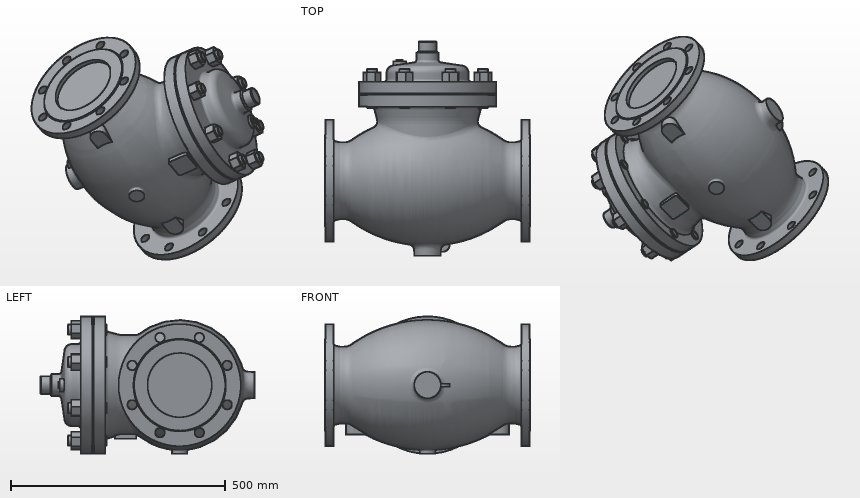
import cadquery as cq
import math


face_to_face = 480.0
flange_radius = 142.5
flange_back = 219.0
raised_face_radius = 108.0
raised_face_height = 2.0
raised_face_taper = 45
bore_diameter = 150.0
bore_depth = 10.0
hole_diameter = 22.0
hole_circle = 240.0
bolt_count = 8

pipe_radius = 90.0
pipe_start = 204.5
hub_radius = 92.0
hub_start = 213.0
belly_radius = 152.0
throat_end = 194.0
throat_blend = 30.0

neck_radius = 117.0
neck_base = 75.0
neck_straight_end = 132.5
neck_cone_start = 146.0
neck_cone_end = 166.0
neck_cone_angle = math.radians(15)
neck_root_fillet = 15.0

bonnet_radius = 160.5
bonnet_thickness = 27.0
neck_flange_base = 173.0
gasket_radius = 125.0
gasket_thickness = 4.0

dome_radius = 96.0
dome_straight_end = 251.0
dome_corner = 18.0
dome_slope = math.radians(8.5)
dome_fillet = 6.0
stem_foot_radius = 26.0
stem_root_fillet = 6.0
stem_foot_top = 301.5
stem_radius = 21.0
stem_top = 325.0
stem_step_chamfer = 3.0
stem_chamfer = 2.0

plug_x = -65.0
plug_diameter = 30.0
plug_top = 279.0
plug_knob_diameter = 15.0
plug_knob_height = 3.5

stud_circle = 280.0
stud_diameter = 24.0
stud_bottom = 169.5
stud_top = 261.0
stud_chamfer = 1.5
nut_across_corners = 42.0
nut_height = 22.0

side_boss_diameter = 62.0
side_boss_end = -175.0
side_boss_draft = 2.5
side_boss_fillet = 12.0
rib_thickness = 7.0
rib_radius = 17.5
rib_center_x = 34.5
rib_center_y = -148.5
drain_diameter = 36.0
drain_bottom = -160.5
drain_fillet = 3.0
foot_width = 39.0
foot_end = 190.5
foot_inner = 100.0
foot_bottom = -115.5
pad_size = 50.0
pad_center_y = 126.0
pad_bottom = -125.5
pad_corner = 4.5

gasket_base = neck_flange_base + bonnet_thickness
cover_base = gasket_base + gasket_thickness
cover_top = cover_base + bonnet_thickness


def y_cylinder(radius, start, end, x=0.0):
    """Cylinder along Y between two Y positions."""
    return cq.Workplane("XZ", origin=(x, start, 0)).circle(radius).extrude(start - end)


def edges_in_box(solid, low, high):
    """Edges whose centers lie inside the box."""
    return solid.edges(cq.selectors.BoxSelector(low, high))


def make_body():
    """Belly and pipe ends, revolved about X."""
    drop = belly_radius - pipe_radius
    belly_arc = (throat_end**2 + drop**2 - 2 * drop * throat_blend) / (2 * drop)
    share = belly_arc / (belly_arc + throat_blend)
    belly_center = belly_radius - belly_arc
    join_x = throat_end * share
    join_r = belly_center + (pipe_radius + throat_blend - belly_center) * share
    fillet = flange_back - hub_start
    return (
        cq.Workplane("XY")
        .moveTo(-flange_back, 0)
        .lineTo(-flange_back, hub_radius + fillet)
        .radiusArc((-hub_start, hub_radius), -fillet)
        .lineTo(-pipe_start, pipe_radius)
        .lineTo(-throat_end, pipe_radius)
        .radiusArc((-join_x, join_r), -throat_blend)
        .threePointArc((0, belly_radius), (join_x, join_r))
        .radiusArc((throat_end, pipe_radius), -throat_blend)
        .lineTo(pipe_start, pipe_radius)
        .lineTo(hub_start, hub_radius)
        .radiusArc((flange_back, hub_radius + fillet), -fillet)
        .lineTo(flange_back, 0)
        .close()
        .revolve(360, (0, 0, 0), (1, 0, 0))
    )


def add_neck(body):
    """Flared bonnet neck, blended into the belly."""
    cone_radius = neck_radius + (neck_cone_start - neck_straight_end) * math.tan(neck_cone_angle / 2)
    top_radius = cone_radius + (neck_cone_end - neck_cone_start) * math.tan(neck_cone_angle)
    fillet = neck_flange_base - neck_cone_end
    neck = (
        cq.Workplane("XY")
        .moveTo(0, neck_base)
        .lineTo(neck_radius, neck_base)
        .lineTo(neck_radius, neck_straight_end)
        .tangentArcPoint((cone_radius, neck_cone_start), relative=False)
        .lineTo(top_radius, neck_cone_end)
        .tangentArcPoint((top_radius + fillet, neck_flange_base), relative=False)
        .lineTo(0, neck_flange_base)
        .close()
        .revolve(360, (0, 0, 0), (0, 1, 0))
    )
    reach = neck_radius + 5
    joined = body.union(neck)
    root = edges_in_box(joined, (-reach, neck_base, -reach), (reach, neck_straight_end - 0.5, reach))
    return root.fillet(neck_root_fillet)


def make_pipe_flange():
    """Flange at the -X end, with a raised face."""
    raised_back = face_to_face / 2 - raised_face_height
    plate = (
        cq.Workplane("YZ", origin=(-raised_back, 0, 0))
        .circle(flange_radius)
        .extrude(raised_back - flange_back)
        .faces("<X").workplane()
        .polarArray(hole_circle / 2, 180 / bolt_count, 360, bolt_count)
        .hole(hole_diameter)
    )
    face = cq.Workplane("YZ", origin=(-raised_back, 0, 0)).circle(raised_face_radius)
    return plate.union(face.extrude(-raised_face_height, taper=raised_face_taper))


def make_bore():
    """Blind recess at the -X end."""
    return cq.Workplane("YZ", origin=(-face_to_face / 2, 0, 0)).circle(bore_diameter / 2).extrude(bore_depth)


def make_cover():
    """Dome with conical top and stepped stem, revolved about Y."""
    corner_sin = math.sin(dome_slope)
    corner_cos = math.cos(dome_slope)
    cone_radius = dome_radius - dome_corner * (1 - corner_sin)
    cone_start = dome_straight_end + dome_corner * corner_cos
    stem_root = cone_start + (cone_radius - stem_foot_radius) * math.tan(dome_slope)
    cover = (
        cq.Workplane("XY")
        .moveTo(0, cover_top)
        .lineTo(dome_radius + dome_fillet, cover_top)
        .radiusArc((dome_radius, cover_top + dome_fillet), dome_fillet)
        .lineTo(dome_radius, dome_straight_end)
        .radiusArc((cone_radius, cone_start), -dome_corner)
        .lineTo(stem_foot_radius, stem_root)
        .lineTo(stem_foot_radius, stem_foot_top - stem_step_chamfer)
        .lineTo(stem_radius, stem_foot_top)
        .lineTo(stem_radius, stem_top - stem_chamfer)
        .lineTo(stem_radius - stem_chamfer, stem_top)
        .lineTo(0, stem_top)
        .close()
        .revolve(360, (0, 0, 0), (0, 1, 0))
    )
    reach = stem_foot_radius + 5
    root = edges_in_box(cover, (-reach, stem_root - 0.5, -reach), (reach, stem_root + 0.5, reach))
    return root.fillet(stem_root_fillet)


def make_plug():
    """Round plug with a small knob on the dome."""
    plug = y_cylinder(plug_diameter / 2, cover_top, plug_top, plug_x)
    return plug.union(y_cylinder(plug_knob_diameter / 2, plug_top, plug_top + plug_knob_height, plug_x))


def make_stud(angle):
    """Stud and nut, with two nut flats square to the radius."""
    stud = y_cylinder(stud_diameter / 2, stud_bottom, stud_top).faces("<Y or >Y").chamfer(stud_chamfer)
    nut = cq.Workplane("XZ", origin=(0, cover_top, 0)).polygon(6, nut_across_corners).extrude(-nut_height)
    nut = nut.rotate((0, 0, 0), (0, 1, 0), 30)
    stud = stud.union(nut).translate((stud_circle / 2, 0, 0))
    return stud.rotate((0, 0, 0), (0, 1, 0), angle)


def add_side_boss(body):
    """Round boss on the -Y side with a small rib beside it."""
    radius = side_boss_diameter / 2
    boss = cq.Workplane("XZ", origin=(0, side_boss_end, 0)).circle(radius)
    joined = body.union(boss.extrude(side_boss_end, taper=-side_boss_draft))
    reach = radius + 5
    root = edges_in_box(joined, (-reach, side_boss_end + 5, -reach), (reach, -belly_radius / 2, reach))
    rounded = root.fillet(side_boss_fillet)
    rib = (
        cq.Workplane("XY", origin=(0, 0, -rib_thickness / 2))
        .moveTo(0, rib_center_y - rib_radius)
        .lineTo(rib_center_x, rib_center_y - rib_radius)
        .radiusArc((rib_center_x + rib_radius, rib_center_y), -rib_radius)
        .lineTo(rib_center_x + rib_radius, rib_center_y + rib_radius)
        .lineTo(0, rib_center_y + rib_radius)
        .close()
        .extrude(rib_thickness)
    )
    return rounded.union(rib)


def add_drain_boss(body):
    """Round boss under the belly."""
    radius = drain_diameter / 2
    boss = cq.Workplane("XY", origin=(0, 0, drain_bottom)).circle(radius).extrude(-drain_bottom)
    joined = body.union(boss)
    reach = radius + 5
    root = edges_in_box(joined, (-reach, -reach, drain_bottom + 5), (reach, reach, -belly_radius / 2))
    return root.fillet(drain_fillet)


def make_foot(side):
    """Foot with a rounded outer end under the throat at one side."""
    end_x = side * (foot_end - foot_width / 2)
    plan = cq.Workplane("XY", origin=(0, 0, foot_bottom))
    round_end = plan.center(end_x, 0).circle(foot_width / 2).extrude(-foot_bottom)
    web = plan.center((end_x + side * foot_inner) / 2, 0).rect(abs(end_x) - foot_inner, foot_width)
    return round_end.union(web.extrude(-foot_bottom))


def make_pad():
    """Square pad under the bonnet neck."""
    pad = cq.Workplane("XY", origin=(0, pad_center_y, pad_bottom)).rect(pad_size, pad_size)
    return pad.extrude(-pad_bottom / 2).edges("|Z").fillet(pad_corner)


result = add_neck(make_body())
result = add_side_boss(result)
result = add_drain_boss(result)
result = result.union(make_pad())
for side in (-1, 1):
    result = result.union(make_foot(side))

pipe_flange = make_pipe_flange()
bore = make_bore()
result = result.union(pipe_flange).union(pipe_flange.mirror("YZ"))
result = result.cut(bore).cut(bore.mirror("YZ"))

result = result.union(y_cylinder(bonnet_radius, neck_flange_base, gasket_base))
result = result.union(y_cylinder(gasket_radius, gasket_base, cover_base))
result = result.union(y_cylinder(bonnet_radius, cover_base, cover_top))
result = result.union(make_cover()).union(make_plug())
for index in range(bolt_count):
    result = result.union(make_stud((index + 0.5) * 360 / bolt_count))